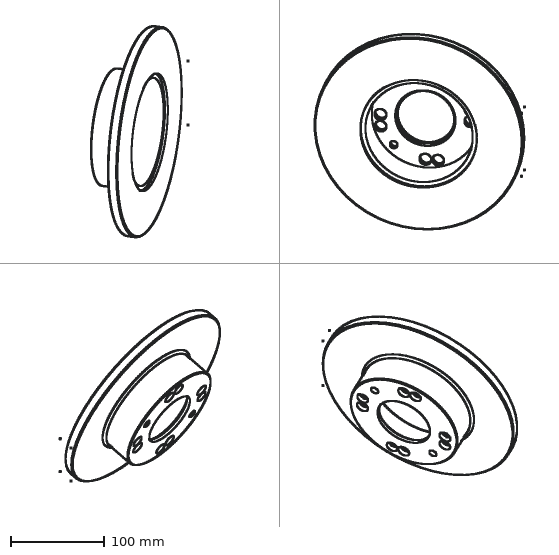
import cadquery as cq
import math

OVERALL_WIDTH = 227.5
DISC_DIAMETER = 227.0
DISC_FRONT_X = 35.0
DISC_THICKNESS = 11.0
RIM_CHAMFER = 1.1

HAT_DIAMETER = 127.2
HAT_CHAMFER = 1.0
HAT_FACE_THICKNESS = 6.0
BORE_CHAMFER = 1.8
CAVITY_DIAMETER = 117.0
RECESS_DIAMETER = 127.0
RECESS_DEPTH = 3.2
BORE_DIAMETER = 62.0

COLLAR_DIAMETER = 127.6
COLLAR_START_X = 32.3
GROOVE_OUTER_DIAMETER = 133.5
GROOVE_START_X = 34.4

BOLT_COUNT = 4
BOLT_HOLE_DIAMETER = 13.0
BOLT_CIRCLE_RADIUS = 49.0
ALTERNATE_HOLE_DIAMETER = 12.5
ALTERNATE_CIRCLE_RADIUS = 50.7
ALTERNATE_ANGLE = -15.9
SCREW_HOLE_DIAMETER = 8.5
SCREW_CIRCLE_RADIUS = 49.0
SCREW_ANGLES = (45, 225)

PIN_DIAMETER = 1.0
PIN_LENGTH = 0.7
REAR_PIN_X = 53.0
FRONT_PIN_X = 36.9
PIN_Z = 37.3

disc_radius = DISC_DIAMETER / 2
disc_back_x = DISC_FRONT_X + DISC_THICKNESS
hat_radius = HAT_DIAMETER / 2
collar_radius = COLLAR_DIAMETER / 2
cavity_radius = CAVITY_DIAMETER / 2
recess_radius = RECESS_DIAMETER / 2
recess_floor_x = disc_back_x - RECESS_DEPTH
bore_radius = BORE_DIAMETER / 2
pin_y = OVERALL_WIDTH - disc_radius - PIN_DIAMETER / 2


def rotor_blank():
    """Revolve the disc, its hat and the round-bottomed groove between them."""
    groove_outer_radius = GROOVE_OUTER_DIAMETER / 2
    groove_width = groove_outer_radius - collar_radius
    face_offset = DISC_FRONT_X - GROOVE_START_X
    arc_radius = (groove_width**2 + face_offset**2) / (2 * groove_width)
    groove_bottom = (GROOVE_START_X + arc_radius, collar_radius + arc_radius)

    profile = (
        cq.Workplane("XY")
        .moveTo(0, bore_radius)
        .lineTo(0, hat_radius - HAT_CHAMFER)
        .lineTo(HAT_CHAMFER, hat_radius)
        .lineTo(COLLAR_START_X, hat_radius)
        .lineTo(COLLAR_START_X, collar_radius)
        .lineTo(GROOVE_START_X, collar_radius)
        .threePointArc(groove_bottom, (DISC_FRONT_X, groove_outer_radius))
        .lineTo(DISC_FRONT_X, disc_radius - RIM_CHAMFER)
        .lineTo(DISC_FRONT_X + RIM_CHAMFER, disc_radius)
        .lineTo(disc_back_x - RIM_CHAMFER, disc_radius)
        .lineTo(disc_back_x, disc_radius - RIM_CHAMFER)
        .lineTo(disc_back_x, recess_radius)
        .lineTo(recess_floor_x, recess_radius)
        .lineTo(recess_floor_x, cavity_radius)
        .lineTo(HAT_FACE_THICKNESS, cavity_radius)
        .lineTo(HAT_FACE_THICKNESS, bore_radius + BORE_CHAMFER)
        .lineTo(HAT_FACE_THICKNESS - BORE_CHAMFER, bore_radius)
        .close()
    )
    return profile.revolve(360, (0, 0, 0), (1, 0, 0))


def hole_cutters(diameter, circle_radius, angles):
    """Cylinders through the hat face; angles run from +Z towards +Y."""
    points = [
        (
            circle_radius * math.sin(math.radians(angle)),
            circle_radius * math.cos(math.radians(angle)),
        )
        for angle in angles
    ]
    return cq.Workplane("YZ").pushPoints(points).circle(diameter / 2).extrude(HAT_FACE_THICKNESS)


def make_rotor():
    bolt_angles = [i * 360 / BOLT_COUNT for i in range(BOLT_COUNT)]
    alternate_angles = [angle + ALTERNATE_ANGLE for angle in bolt_angles]
    return (
        rotor_blank()
        .cut(hole_cutters(BOLT_HOLE_DIAMETER, BOLT_CIRCLE_RADIUS, bolt_angles))
        .cut(hole_cutters(ALTERNATE_HOLE_DIAMETER, ALTERNATE_CIRCLE_RADIUS, alternate_angles))
        .cut(hole_cutters(SCREW_HOLE_DIAMETER, SCREW_CIRCLE_RADIUS, SCREW_ANGLES))
    )


def make_pin(back_x, z):
    """Tiny loose pin beside the rim, parallel to the rotor axis and ending at back_x."""
    return (
        cq.Workplane("YZ", origin=(back_x - PIN_LENGTH, pin_y, z))
        .circle(PIN_DIAMETER / 2)
        .extrude(PIN_LENGTH)
    )


rotor = make_rotor()
pins = [make_pin(back_x, z) for back_x in (FRONT_PIN_X, REAR_PIN_X) for z in (-PIN_Z, PIN_Z)]

result = cq.Compound.makeCompound([rotor.val(), *[pin.val() for pin in pins]])